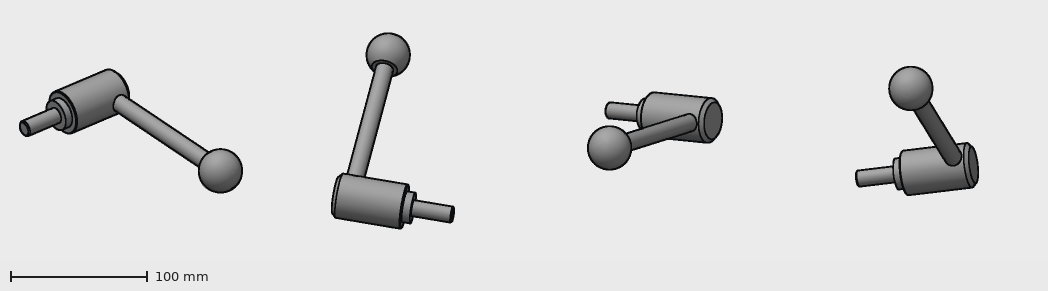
import cadquery as cq

hub_diameter = 33.0
hub_length = 52.0
hub_back_chamfer = 3.0
hub_front_chamfer = 0.7
hub_back_y = 11.0

collar_diameter = 23.0
collar_length = 6.0

stud_diameter = 12.0
stud_length = 30.0
stud_chamfer = 1.0

rod_diameter = 13.0

overall_length = 167.0
ball_radius = 16.0
ball_flat_offset = 12.9

hub_front_y = hub_back_y - hub_length
collar_front_y = hub_front_y - collar_length
ball_center_x = overall_length - hub_diameter / 2 - ball_radius
ball_flat_x = ball_center_x - ball_flat_offset


def cylinder_toward_front(diameter, length, start_y):
    """Cylinder on the hub axis, running from start_y in the -Y direction."""
    return cq.Workplane("XZ", origin=(0, start_y, 0)).circle(diameter / 2).extrude(length)


def make_hub():
    hub = cylinder_toward_front(hub_diameter, hub_length, hub_back_y)
    hub = hub.faces(">Y").chamfer(hub_back_chamfer)
    return hub.faces("<Y").chamfer(hub_front_chamfer)


def make_stud():
    stud = cylinder_toward_front(stud_diameter, stud_length, collar_front_y)
    return stud.faces("<Y").chamfer(stud_chamfer)


def make_rod():
    return cq.Workplane("YZ").circle(rod_diameter / 2).extrude(ball_center_x)


def make_ball():
    """Ball knob with a flat face where the rod enters."""
    ball_extent = ball_flat_offset + ball_radius
    keep = cq.Workplane("YZ", origin=(ball_flat_x, 0, 0)).circle(ball_radius).extrude(ball_extent)
    ball = cq.Workplane("XY", origin=(ball_center_x, 0, 0)).sphere(ball_radius)
    return ball.intersect(keep)


collar = cylinder_toward_front(collar_diameter, collar_length, hub_front_y)
result = make_hub().union(collar).union(make_stud()).union(make_rod()).union(make_ball())